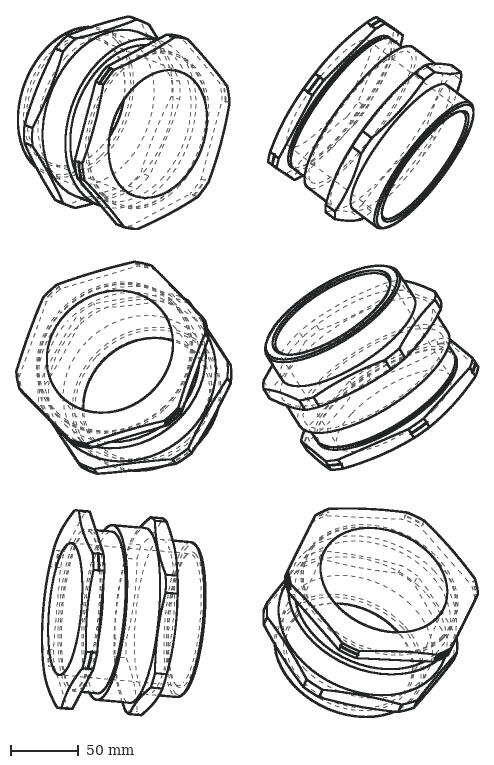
import cadquery as cq
import math

hex_start = 24.0
hex_end = 37.1
barrel_end = 62.2
neck_end = 80.5
nut_start = 81.8
total_length = 92.2

spigot_radius = 57.5
barrel_radius = 64.8
neck_radius = 60.0
groove_radius = 58.6
bore_radius = 48.8
edge_chamfer = 1.5

across_flats = 133.4
corner_radius = 73.3
corner_bevel = 2.0
nut_turn = 10.0

line_groove_width = 0.5
line_groove_depth = 0.3
line_groove_middle = (nut_start + total_length - corner_bevel) / 2


def revolve_profile(points):
    """Revolve (x, radius) points around the X axis."""
    return cq.Workplane("XY").polyline(points).close().revolve(360, (0, 0, 0), (1, 0, 0))


def cylinder(start, end, radius):
    return cq.Workplane("YZ", origin=(start, 0, 0)).circle(radius).extrude(end - start)


def hexagon(start, end, front_bevel, turn):
    """Hexagon with flats facing +Z and -Z, rounded corners and a conical bevel at its faces."""
    flat_radius = across_flats / 2
    point_to_point = across_flats / math.cos(math.pi / 6)
    prism = cq.Workplane("YZ", origin=(start, 0, 0)).polygon(6, point_to_point).extrude(end - start)
    prism = prism.rotate((0, 0, 0), (1, 0, 0), turn)
    front_radius = flat_radius if front_bevel else corner_radius
    envelope = revolve_profile([
        (start, 0),
        (start, front_radius),
        (start + corner_bevel, corner_radius),
        (end - corner_bevel, corner_radius),
        (end, flat_radius),
        (end, 0),
    ])
    return prism.intersect(envelope)


def make_body():
    """Spigot, barrel and neck, ending in a V-shaped groove in front of the nut."""
    return revolve_profile([
        (0, 0),
        (0, spigot_radius - edge_chamfer),
        (edge_chamfer, spigot_radius),
        (hex_start, spigot_radius),
        (hex_start, barrel_radius),
        (barrel_end, barrel_radius),
        (barrel_end, neck_radius),
        (neck_end - (neck_radius - groove_radius), neck_radius),
        (neck_end, groove_radius),
        (nut_start, neck_radius),
        (total_length, neck_radius),
        (total_length, 0),
    ])


def make_nut():
    nut = hexagon(nut_start, total_length, False, nut_turn)
    groove_start = line_groove_middle - line_groove_width / 2
    groove_end = groove_start + line_groove_width
    ring = cylinder(groove_start, groove_end, corner_radius + 1.5)
    ring = ring.cut(cylinder(groove_start, groove_end, corner_radius - line_groove_depth))
    return nut.cut(ring)


def make_bore():
    """Through bore with a chamfered mouth at the front end."""
    return revolve_profile([
        (0, 0),
        (0, bore_radius + edge_chamfer),
        (edge_chamfer, bore_radius),
        (total_length, bore_radius),
        (total_length, 0),
    ])


fixed_hexagon = hexagon(hex_start, hex_end, True, 0)
result = make_body().union(fixed_hexagon).union(make_nut()).cut(make_bore())